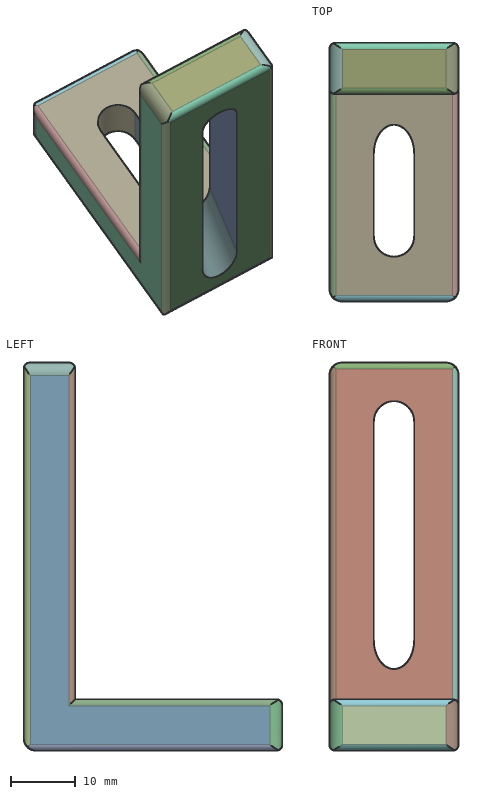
import cadquery as cq
import math

height = 60.0
width = height / 3
depth = height * 2 / 3
thickness = depth / 5
wall_inner_y = depth - thickness
edge_radius = depth / 40
corner_radius = 2 * edge_radius

slot_width = 6.2
slot_radius = slot_width / 2
slanted_reach = slot_radius * math.sqrt(2)
wall_slot_bottom = 12.65
wall_slot_top = 54.0
foot_slot_front = 6.95
foot_slot_back = 27.3


def bar_body():
    """Rounded rectangular section swept along the L with a mitred corner."""
    mid_thickness = thickness / 2
    wall_mid_y = depth - mid_thickness
    path = cq.Workplane("YZ").polyline(
        [(0, mid_thickness), (wall_mid_y, mid_thickness), (wall_mid_y, height)]
    )
    section = cq.Sketch().rect(width, thickness).vertices().fillet(edge_radius)
    return (
        cq.Workplane("XZ", origin=(0, 0, mid_thickness))
        .placeSketch(section)
        .sweep(path, transition="right")
    )


def side_envelope():
    """L profile with the edges across both free ends and the heel rounded."""
    foot = (
        cq.Workplane("XY")
        .box(width, depth, thickness, centered=(True, False, False))
        .edges("|X and <Y")
        .fillet(edge_radius)
    )
    wall = (
        cq.Workplane("XY", origin=(0, wall_inner_y, 0))
        .box(width, thickness, height, centered=(True, False, False))
        .edges("|X and >Z")
        .fillet(edge_radius)
    )
    return foot.union(wall).edges("|X and >Y and <Z").fillet(corner_radius)


def end_envelope():
    """Block whose corners at the foot tip and the wall top are rounded."""
    block = cq.Workplane("XY").box(width, depth, height, centered=(True, False, False))
    foot_corners = block.edges("|Z and <Y").fillet(corner_radius)
    wall_corners = block.edges("|Y and >Z").fillet(corner_radius)
    return foot_corners.intersect(wall_corners)


def slanted_end(y, z):
    """Cylinder sloping down toward the heel, its axis passing through (y, z)."""
    half_length = 2 * thickness
    slope = cq.Vector(0, 1, -1).normalized()
    start = cq.Vector(0, y, z) - slope * half_length
    return cq.Workplane(cq.Solid.makeCylinder(slot_radius, 2 * half_length, start, slope))


def slot_middle(side_outline):
    """Flat-sided part of a slot, from its outline in the YZ plane."""
    return cq.Workplane("YZ").polyline(side_outline).close().extrude(slot_radius, both=True)


def wall_slot():
    round_z = wall_slot_top - slot_radius
    slant_z = wall_slot_bottom + slanted_reach
    middle = slot_middle([
        (wall_inner_y, slant_z),
        (wall_inner_y, round_z),
        (depth, round_z),
        (depth, slant_z - thickness),
    ])
    round_end = (
        cq.Workplane("XZ", origin=(0, depth, round_z)).circle(slot_radius).extrude(thickness)
    )
    return middle.union(round_end).union(slanted_end(wall_inner_y, slant_z))


def foot_slot():
    round_y = foot_slot_front + slot_radius
    slant_y = foot_slot_back - slanted_reach
    middle = slot_middle([
        (slant_y, thickness),
        (round_y, thickness),
        (round_y, 0),
        (slant_y + thickness, 0),
    ])
    round_end = (
        cq.Workplane("XY", origin=(0, round_y, 0)).circle(slot_radius).extrude(thickness)
    )
    return middle.union(round_end).union(slanted_end(slant_y, thickness))


result = (
    bar_body()
    .intersect(side_envelope())
    .intersect(end_envelope())
    .cut(wall_slot())
    .cut(foot_slot())
)